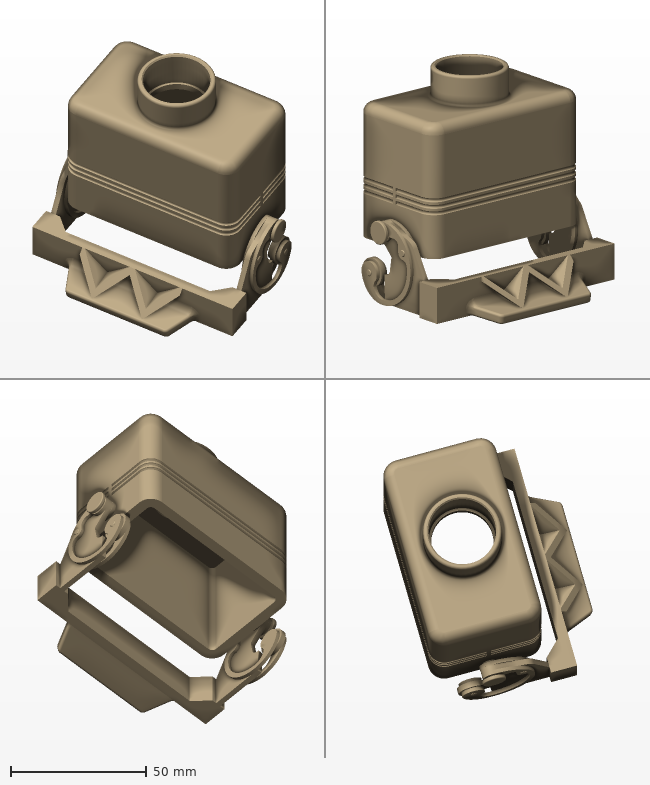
import cadquery as cq
import math


PICK_MARGIN = 0.1

HOOD_LENGTH = 73.0
HOOD_WIDTH = 43.0
HOOD_HEIGHT = 51.8
HOOD_CORNER_RADIUS = 6.0
HOOD_TOP_RADIUS = 4.0
HOOD_WALL = 4.0
HOOD_ROOF = 4.4

COLLAR_TOP = 63.48
COLLAR_RADIUS = 14.5
COLLAR_EDGE_RADIUS = 1.0
BORE_RADIUS = 12.45
BORE_CHAMFER = 0.5
BORE_FLOOR = 50.0
CABLE_HOLE_RADIUS = 11.5

GROOVE_RADIUS = 0.75
GROOVE_TOP_Z = 22.7
GROOVE_PITCH = 2.5
GROOVE_COUNT = 3
GROOVE_GAP = 1.6

PIVOT = (0.0, 7.4)
PIN_RADIUS = 2.5
CAP_RADIUS = 4.5
CAP_OUTER_X = 44.5
CAP_THICKNESS = 1.5
CAP_EDGE_RADIUS = 0.4
PIN_EMBED = 1.0

LATCH_MID_X = 39.85
ARM_THICKNESS = 2.1
PLATE_THICKNESS = 1.45
PIVOT_EYE_RADIUS = 4.0
ARM_EYE_RADIUS = 3.95

BACK_RADIUS = 16.1
BACK_CENTER = (0.0, PIVOT[1] + PIVOT_EYE_RADIUS - BACK_RADIUS)
BACK_INNER_RADIUS = 14.1
BELLY_RADIUS = 12.0
BELLY_CENTER = (0.0, BACK_CENTER[1] - BACK_RADIUS + BELLY_RADIUS)
MOUTH_RADIUS = 5.0
MOUTH_CENTER = (0.0, BACK_CENTER[1] - BACK_INNER_RADIUS + MOUTH_RADIUS)
MOUTH_END_ANGLE = -14.0
THROAT_POINT = (4.85, -14.2)
TIP_CENTER = (7.5, -10.15)
TIP_RADIUS = 4.35
TIP_END_ANGLE = 209.0
RIVET_EYE_CENTER = (-11.65, 1.83)
RIVET_EYE_RADIUS = 2.55
BLEND_RADIUS = 2.6
NECK_Z = 6.3

ROLLER_RADIUS = 5.45
RIVET_RADIUS = 1.3
RIVET_HEIGHT = 0.33
RIVET_CHAMFER = 0.25

BAR_HALF_LENGTH = 43.0
BAR_END_LENGTH = 6.0
BAR_TOP = -6.6
BAR_BOTTOM = -20.5
BAR_BACK = -22.0
BAR_FRONT = -32.0
BAR_THICKNESS = 4.0

ARM_TOP_SLOPE = 20.5
ARM_UNDER_SLOPE = 45.0
ARM_KNEE = (-15.1, 6.0)
ARM_KNEE_RADIUS = 5.0
ARM_THROAT_TOP = (-3.55, -1.8)
ARM_THROAT_BOTTOM = (-2.6, -7.8)
ARM_THROAT_MIDDLE = (-1.3, -9.15)
ARM_HEEL_TOP = (0.55, -9.6)
ARM_HEEL_BOTTOM = (0.1, BAR_BOTTOM)

GRIP_TILT = 10.0
GRIP_THICKNESS = 4.0
GRIP_REACH = 11.78
GRIP_TIP_HALF_WIDTH = 21.7
GRIP_ROOT_HALF_WIDTH = 26.8
GRIP_CORNER_RADIUS = 2.0
GRIP_EDGE_RADIUS = 1.0
GRIP_ROOT_RADIUS = 3.0
GRIP_EMBED = 4.0
GRIP_UNDERSIDE_DROP = GRIP_REACH / 2 * math.tan(math.radians(GRIP_TILT))
GRIP_UNDERSIDE_POINT = (0, BAR_FRONT - GRIP_REACH / 2, BAR_BOTTOM - GRIP_UNDERSIDE_DROP)

RIB_HALF_WIDTH = 21.5
RIB_PEAK_DROP = 1.7
RIB_HEIGHT = 2.5
RIB_SINK = 0.1
RIB_SLOPE = 46.8


def on_circle(center, radius, degrees):
    angle = math.radians(degrees)
    return (center[0] + radius * math.cos(angle), center[1] + radius * math.sin(angle))


def direction(start, end):
    return math.degrees(math.atan2(end[1] - start[1], end[0] - start[0]))


def rounded_block(length, width, height, corner_radius):
    block = cq.Workplane("XY").box(length, width, height, centered=(True, True, False))
    return block.edges("|Z").fillet(corner_radius)


def groove_rings():
    block = rounded_block(HOOD_LENGTH, HOOD_WIDTH, HOOD_HEIGHT, HOOD_CORNER_RADIUS)
    path = block.faces("<Z").wires()
    ring = (
        cq.Workplane("YZ")
        .center(-HOOD_WIDTH / 2, 0)
        .circle(GROOVE_RADIUS)
        .sweep(path)
    )
    gap = cq.Workplane("XY").box(2 * HOOD_LENGTH, GROOVE_GAP, 4 * GROOVE_RADIUS)
    ring = ring.cut(gap)
    return [ring.translate((0, 0, GROOVE_TOP_Z - i * GROOVE_PITCH)) for i in range(GROOVE_COUNT)]


def make_hood():
    hood = rounded_block(HOOD_LENGTH, HOOD_WIDTH, HOOD_HEIGHT, HOOD_CORNER_RADIUS)
    hood = hood.faces(">Z").edges().fillet(HOOD_TOP_RADIUS)

    collar = cq.Workplane("XY").workplane(offset=BORE_FLOOR).circle(COLLAR_RADIUS)
    hood = hood.union(collar.extrude(COLLAR_TOP - BORE_FLOOR))
    collar_root = cq.selectors.BoxSelector(
        (-COLLAR_RADIUS, -COLLAR_RADIUS, HOOD_HEIGHT - PICK_MARGIN),
        (COLLAR_RADIUS, COLLAR_RADIUS, HOOD_HEIGHT + PICK_MARGIN),
    )
    hood = hood.edges("%CIRCLE").edges(collar_root).fillet(COLLAR_EDGE_RADIUS)
    hood = hood.faces(">Z").edges().fillet(COLLAR_EDGE_RADIUS)

    cavity = rounded_block(
        HOOD_LENGTH - 2 * HOOD_WALL,
        HOOD_WIDTH - 2 * HOOD_WALL,
        HOOD_HEIGHT - HOOD_ROOF,
        HOOD_CORNER_RADIUS - HOOD_WALL,
    )
    hood = hood.cut(cavity)
    hood = hood.cut(cq.Workplane("XY").circle(CABLE_HOLE_RADIUS).extrude(COLLAR_TOP))
    bore = cq.Workplane("XY").workplane(offset=BORE_FLOOR).circle(BORE_RADIUS)
    hood = hood.cut(bore.extrude(COLLAR_TOP - BORE_FLOOR))
    hood = hood.faces(">Z").edges(cq.selectors.RadiusNthSelector(0)).chamfer(BORE_CHAMFER)

    for ring in groove_rings():
        hood = hood.cut(ring)
    return hood


def layer(outer_x):
    """YZ work plane on the -X side, facing +X from the given distance."""
    return cq.Workplane("YZ").workplane(offset=-outer_x)


def rivet_blend_center():
    """Centre of the blend that touches the inner back arc and the rivet eye."""
    to_back = BACK_INNER_RADIUS - BLEND_RADIUS
    to_eye = RIVET_EYE_RADIUS + BLEND_RADIUS
    span = math.dist(BACK_CENTER, RIVET_EYE_CENTER)
    cosine = (to_back**2 + span**2 - to_eye**2) / (2 * to_back * span)
    angle = direction(BACK_CENTER, RIVET_EYE_CENTER) + math.degrees(math.acos(cosine))
    return on_circle(BACK_CENTER, to_back, angle)


def hook_plate(outer_x):
    belly_end = direction(BELLY_CENTER, TIP_CENTER)
    blend = rivet_blend_center()
    blend_start = direction(BACK_CENTER, blend)
    blend_end = direction(blend, RIVET_EYE_CENTER)
    notch_y = RIVET_EYE_CENTER[0] + RIVET_EYE_RADIUS
    notch = (notch_y + BLEND_RADIUS, NECK_Z - BLEND_RADIUS)
    neck_angle = 180 - math.degrees(math.asin((NECK_Z - PIVOT[1]) / PIVOT_EYE_RADIUS))

    outline = layer(outer_x).moveTo(*on_circle(PIVOT, PIVOT_EYE_RADIUS, 90))

    def arc(center, radius, start, end):
        middle = on_circle(center, radius, (start + end) / 2)
        return outline.threePointArc(middle, on_circle(center, radius, end))

    outline = arc(BACK_CENTER, BACK_RADIUS, 90, 270)
    outline = arc(BELLY_CENTER, BELLY_RADIUS, -90, belly_end)
    outline = arc(TIP_CENTER, TIP_RADIUS, belly_end, TIP_END_ANGLE)
    mouth_end = on_circle(MOUTH_CENTER, MOUTH_RADIUS, MOUTH_END_ANGLE)
    outline = outline.threePointArc(THROAT_POINT, mouth_end)
    outline = arc(MOUTH_CENTER, MOUTH_RADIUS, MOUTH_END_ANGLE, -90)
    outline = arc(BACK_CENTER, BACK_INNER_RADIUS, 270, blend_start % 360)
    outline = arc(blend, BLEND_RADIUS, blend_start % 360, blend_end)
    outline = arc(RIVET_EYE_CENTER, RIVET_EYE_RADIUS, blend_end - 180, 0)
    outline = outline.lineTo(notch_y, notch[1])
    outline = arc(notch, BLEND_RADIUS, 180, 90)
    outline = outline.lineTo(*on_circle(PIVOT, PIVOT_EYE_RADIUS, neck_angle))
    outline = arc(PIVOT, PIVOT_EYE_RADIUS, neck_angle, 450)
    return outline.close().extrude(PLATE_THICKNESS)


def bail_arm(outer_x):
    top_angle = 90 + ARM_TOP_SLOPE
    under_angle = -ARM_UNDER_SLOPE
    arm = (
        layer(outer_x)
        .moveTo(*on_circle(PIVOT, ARM_EYE_RADIUS, under_angle))
        .lineTo(*ARM_THROAT_TOP)
        .lineTo(*ARM_THROAT_BOTTOM)
        .threePointArc(ARM_THROAT_MIDDLE, ARM_HEEL_TOP)
        .lineTo(*ARM_HEEL_BOTTOM)
        .lineTo(BAR_BACK, BAR_BOTTOM)
        .lineTo(BAR_BACK, BAR_TOP)
        .lineTo(*ARM_KNEE)
        .lineTo(*on_circle(PIVOT, ARM_EYE_RADIUS, top_angle))
        .threePointArc(
            on_circle(PIVOT, ARM_EYE_RADIUS, (top_angle + under_angle) / 2),
            on_circle(PIVOT, ARM_EYE_RADIUS, under_angle),
        )
        .close()
        .extrude(ARM_THICKNESS)
    )
    knee = cq.selectors.NearestToPointSelector((-outer_x + ARM_THICKNESS / 2, *ARM_KNEE))
    return arm.edges("|X").edges(knee).fillet(ARM_KNEE_RADIUS)


def make_latch():
    """Latch on the -X side: arm, roller, two hook plates, rivets and pivot pin."""
    arm_outer_x = LATCH_MID_X + ARM_THICKNESS / 2
    plate_outer_x = arm_outer_x + PLATE_THICKNESS
    inner_plate_x = LATCH_MID_X - ARM_THICKNESS / 2

    latch = bail_arm(arm_outer_x)
    roller = layer(arm_outer_x).center(*TIP_CENTER).circle(ROLLER_RADIUS)
    latch = latch.union(hook_plate(plate_outer_x)).union(hook_plate(inner_plate_x))
    latch = latch.union(roller.extrude(ARM_THICKNESS))

    for center in (TIP_CENTER, RIVET_EYE_CENTER):
        rivet = layer(plate_outer_x).center(*center).circle(RIVET_RADIUS).extrude(-RIVET_HEIGHT)
        latch = latch.union(rivet.faces("<X").chamfer(RIVET_CHAMFER))

    pin_length = CAP_OUTER_X - HOOD_LENGTH / 2 + PIN_EMBED
    pin = layer(CAP_OUTER_X).center(*PIVOT).circle(PIN_RADIUS).extrude(pin_length)
    cap = layer(CAP_OUTER_X).center(*PIVOT).circle(CAP_RADIUS).extrude(CAP_THICKNESS)
    return latch.union(pin).union(cap.edges().fillet(CAP_EDGE_RADIUS))


def make_bar():
    end_inner = BAR_HALF_LENGTH - BAR_END_LENGTH
    middle_back = BAR_FRONT + BAR_THICKNESS
    ramp_end = end_inner - (BAR_BACK - middle_back)
    outline = [
        (-BAR_HALF_LENGTH, BAR_FRONT),
        (BAR_HALF_LENGTH, BAR_FRONT),
        (BAR_HALF_LENGTH, BAR_BACK),
        (end_inner, BAR_BACK),
        (ramp_end, middle_back),
        (-ramp_end, middle_back),
        (-end_inner, BAR_BACK),
        (-BAR_HALF_LENGTH, BAR_BACK),
    ]
    bar = cq.Workplane("XY").workplane(offset=BAR_BOTTOM).polyline(outline).close()
    return bar.extrude(BAR_TOP - BAR_BOTTOM)


def tilt_into_place(shape):
    """Tilt about the X axis and move the origin to the lower front edge of the bar."""
    return shape.rotate((0, 0, 0), (1, 0, 0), GRIP_TILT).translate((0, BAR_FRONT, BAR_BOTTOM))


def make_grip():
    flare = (GRIP_ROOT_HALF_WIDTH - GRIP_TIP_HALF_WIDTH) / GRIP_REACH
    embed_half_width = GRIP_ROOT_HALF_WIDTH + flare * GRIP_EMBED
    outline = [
        (-embed_half_width, GRIP_EMBED),
        (-GRIP_TIP_HALF_WIDTH, -GRIP_REACH),
        (GRIP_TIP_HALF_WIDTH, -GRIP_REACH),
        (embed_half_width, GRIP_EMBED),
    ]
    grip = cq.Workplane("XY").polyline(outline).close().extrude(GRIP_THICKNESS)
    grip = grip.edges("|Z and <Y").fillet(GRIP_CORNER_RADIUS)
    grip = grip.faces(">Z").edges("not >Y").fillet(GRIP_EDGE_RADIUS)
    return tilt_into_place(grip)


def make_rib():
    """Zigzag strip running along the grip, trimmed by a sloping plane from the bar top."""
    tilt_cosine = math.cos(math.radians(GRIP_TILT))
    valley_x = RIB_HALF_WIDTH / 2
    valley = GRIP_THICKNESS - RIB_SINK
    peak = (BAR_TOP - BAR_BOTTOM - RIB_PEAK_DROP) * tilt_cosine
    lower = [
        (-RIB_HALF_WIDTH, peak),
        (-valley_x, valley),
        (0, peak),
        (valley_x, valley),
        (RIB_HALF_WIDTH, peak),
    ]
    upper = [(x, z + RIB_HEIGHT) for x, z in reversed(lower)]
    zigzag = cq.Workplane("XZ").workplane(offset=-GRIP_EMBED).polyline(lower + upper).close()
    zigzag = tilt_into_place(zigzag.extrude(2 * GRIP_REACH))

    bar_height = BAR_TOP - BAR_BOTTOM
    reach = bar_height / math.tan(math.radians(RIB_SLOPE))
    gusset = (
        cq.Workplane("YZ")
        .polyline([(BAR_FRONT, BAR_TOP), (BAR_FRONT, BAR_BOTTOM), (BAR_FRONT - reach, BAR_BOTTOM)])
        .close()
        .extrude(BAR_HALF_LENGTH, both=True)
    )
    return zigzag.intersect(gusset)


def make_handle():
    handle = make_bar().union(make_grip())
    root = cq.selectors.BoxSelector(
        (-BAR_HALF_LENGTH + PICK_MARGIN, BAR_FRONT - PICK_MARGIN, BAR_BOTTOM + PICK_MARGIN),
        (BAR_HALF_LENGTH - PICK_MARGIN, BAR_FRONT + PICK_MARGIN, BAR_TOP - PICK_MARGIN),
    )
    handle = handle.edges(root).fillet(GRIP_ROOT_RADIUS)
    underside = cq.selectors.NearestToPointSelector(GRIP_UNDERSIDE_POINT)
    rim = cq.selectors.BoxSelector(
        (-BAR_HALF_LENGTH, BAR_FRONT - 2 * GRIP_REACH, 2 * BAR_BOTTOM),
        (BAR_HALF_LENGTH, BAR_FRONT - PICK_MARGIN, BAR_TOP),
    )
    handle = handle.faces(underside).edges(rim).fillet(GRIP_EDGE_RADIUS)
    return handle.union(make_rib())


latch = make_latch()
result = make_hood().union(make_handle()).union(latch).union(latch.mirror("YZ"))